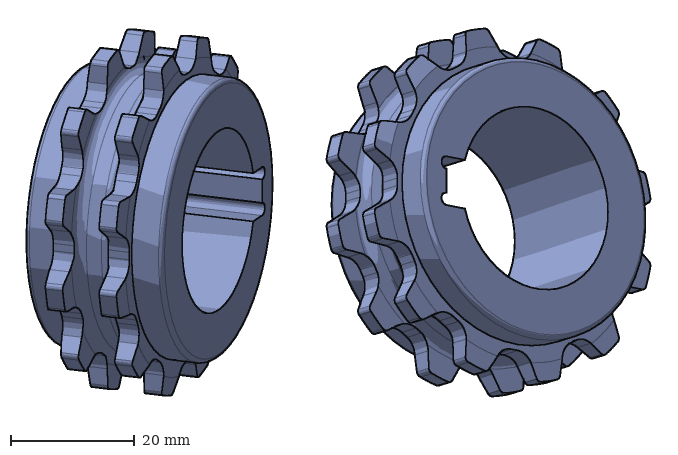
import cadquery as cq
import math

hub_length = 24.1
hub_radius = 23.2
hub_edge_fillet = 0.75

bore_radius = 15.05
keyway_width = 8.1
keyway_floor = 18.3
keyway_relief_radius = 1.0

tooth_count = 12
ring_outer_face = 6.7
ring_inner_face = 3.2
root_flat_distance = 24.2
root_flat_half_width = 0.6
root_arc_radius = 3.25
flank_angle = math.radians(32.5)
tip_radius = 29.1
tip_fillet = 0.85
tip_tolerance = 0.005
bevel_start_radius = 26.0
bevel_depth = 0.45

groove_fillet = 1.9

tip_clearance = 2.85
cut_reach = tip_radius + tip_clearance


def revolved(profile):
    """Revolve a profile drawn as (axial, radial) points about the X axis."""
    return profile.close().revolve(360, (0, 0, 0), (1, 0, 0))


def hub():
    blank = cq.Workplane("YZ").circle(hub_radius).extrude(hub_length / 2, both=True)
    return blank.edges().fillet(hub_edge_fillet)


def ring_blank():
    """Tooth ring on the +X side: beveled outside, filleted to the groove inside."""
    groove_edge = ring_inner_face - groove_fillet
    fillet_centre_radius = hub_radius + groove_fillet
    diagonal = groove_fillet * math.sqrt(0.5)
    fillet_middle = (groove_edge + diagonal, fillet_centre_radius - diagonal)
    return revolved(
        cq.Workplane("XY")
        .moveTo(groove_edge, bore_radius)
        .lineTo(groove_edge, hub_radius)
        .threePointArc(fillet_middle, (ring_inner_face, fillet_centre_radius))
        .lineTo(ring_inner_face, tip_radius)
        .lineTo(ring_outer_face - bevel_depth, tip_radius)
        .lineTo(ring_outer_face, bevel_start_radius)
        .lineTo(ring_outer_face, bore_radius)
    )


def tooth_gap():
    """Space between two teeth, centred on +Y: flat root, two arcs, slanted flanks."""

    def on_arc(turn):
        return (
            root_flat_distance + root_arc_radius * (1 - math.cos(turn)),
            root_flat_half_width + root_arc_radius * math.sin(turn),
        )

    def mirrored(point):
        return (point[0], -point[1])

    arc_turn = math.pi / 2 - flank_angle
    arc_middle = on_arc(arc_turn / 2)
    arc_end = on_arc(arc_turn)
    flank_end = (cut_reach, arc_end[1] + (cut_reach - arc_end[0]) * math.tan(flank_angle))
    root_end = on_arc(0)
    return (
        cq.Workplane("YZ")
        .moveTo(*mirrored(root_end))
        .lineTo(*root_end)
        .threePointArc(arc_middle, arc_end)
        .lineTo(*flank_end)
        .lineTo(*mirrored(flank_end))
        .lineTo(*mirrored(arc_end))
        .threePointArc(mirrored(arc_middle), mirrored(root_end))
        .close()
        .extrude(hub_length / 2)
    )


def is_at_tip(edge):
    """True for an edge lying on the tip cylinder."""
    middle = edge.Center()
    return abs(math.hypot(middle.y, middle.z) - tip_radius) < tip_tolerance


def tooth_outline():
    """Plain toothed prism with rounded tips, used to trim the ring blank."""
    outline = cq.Workplane("YZ").circle(tip_radius).extrude(hub_length / 2)
    gap = tooth_gap()
    for index in range(tooth_count):
        outline = outline.cut(gap.rotate((0, 0, 0), (1, 0, 0), index * 360 / tooth_count))
    tips = outline.edges("|X").filter(is_at_tip)
    return tips.fillet(tip_fillet)


def bore_and_keyway():
    bore = cq.Workplane("YZ").circle(bore_radius).extrude(hub_length, both=True)
    slot = (
        cq.Workplane("YZ")
        .center(keyway_floor / 2, 0)
        .rect(keyway_floor, keyway_width)
        .extrude(hub_length, both=True)
    )
    relief_offset = keyway_width / 2 - keyway_relief_radius
    reliefs = (
        cq.Workplane("YZ")
        .pushPoints([(keyway_floor, relief_offset), (keyway_floor, -relief_offset)])
        .circle(keyway_relief_radius)
        .extrude(hub_length, both=True)
    )
    return bore.union(slot).union(reliefs)


ring = ring_blank().intersect(tooth_outline())
result = hub().union(ring).union(ring.mirror("YZ")).cut(bore_and_keyway())